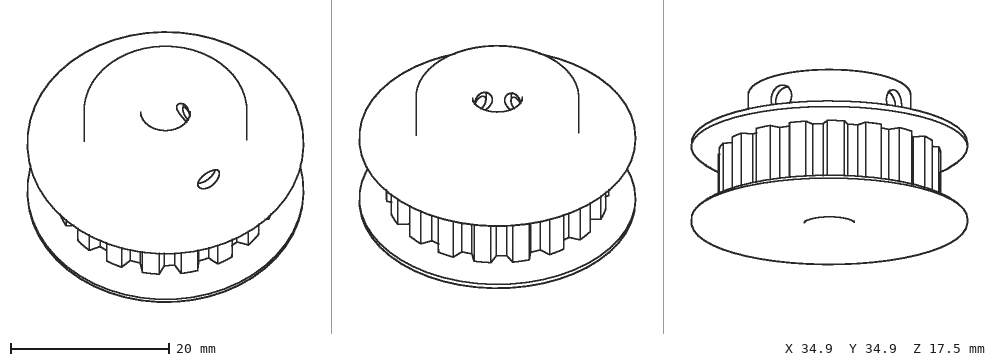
import cadquery as cq
import math

flange_radius = 17.45
flange_thickness = 1.65
flange_rim_height = 0.85
flange_arc_width = 1.7
edge_fillet = 0.4

rim_height = 7.85
tooth_count = 18
tip_radius = 14.07
groove_depth = 1.4
groove_floor_width = 1.33
groove_top_width = 2.75

overall_height = 17.5
hub_radius = 10.3
bore_radius = 3.15

screw_radius = 1.6
screw_tip_radius = 0.98
screw_tip_distance = 3.2
screw_length = 6.0

upper_flange_bottom = flange_thickness + rim_height
body_height = upper_flange_bottom + flange_thickness
screw_height = (body_height + overall_height) / 2


def flange():
    """Disc resting on Z = 0 with a rounded lower edge and an arc on its upper, belt-side edge."""
    arc_height = flange_thickness - flange_rim_height
    flat_radius = flange_radius - flange_arc_width
    arc_radius = (flange_arc_width**2 + arc_height**2) / (2 * arc_height)
    half_angle = math.asin(flange_arc_width / arc_radius) / 2
    arc_middle = (
        flat_radius + arc_radius * math.sin(half_angle),
        flange_thickness - arc_radius * (1 - math.cos(half_angle)),
    )
    profile = (
        cq.Workplane("XZ")
        .lineTo(flange_radius - edge_fillet, 0)
        .radiusArc((flange_radius, edge_fillet), -edge_fillet)
        .lineTo(flange_radius, flange_rim_height)
        .threePointArc(arc_middle, (flat_radius, flange_thickness))
        .lineTo(0, flange_thickness)
        .close()
    )
    return profile.revolve(360, (0, 0, 0), (0, 1, 0))


def toothed_rim():
    """Cylinder cut by tapered belt grooves, one of them centred on -Y."""
    floor_radius = tip_radius - groove_depth
    half_floor = groove_floor_width / 2
    half_top = groove_top_width / 2
    flank_radius = math.sqrt(tip_radius**2 - half_top**2)
    flank_slope = (half_top - half_floor) / (flank_radius - floor_radius)
    half_outside = half_floor + flank_slope * groove_depth
    groove = (
        cq.Workplane("XY")
        .polyline(
            [
                (-half_floor, -floor_radius),
                (half_floor, -floor_radius),
                (half_outside, -tip_radius),
                (-half_outside, -tip_radius),
            ]
        )
        .close()
        .extrude(rim_height)
    )
    rim = cq.Workplane("XY").circle(tip_radius).extrude(rim_height)
    for index in range(tooth_count):
        rim = rim.cut(groove.rotate((0, 0, 0), (0, 0, 1), index * 360 / tooth_count))
    return rim.translate((0, 0, flange_thickness))


def hub():
    """Cylinder with a rounded top edge and a fillet flaring onto the upper flange."""
    profile = (
        cq.Workplane("XZ")
        .moveTo(0, body_height)
        .lineTo(hub_radius + edge_fillet, body_height)
        .radiusArc((hub_radius, body_height + edge_fillet), edge_fillet)
        .lineTo(hub_radius, overall_height - edge_fillet)
        .radiusArc((hub_radius - edge_fillet, overall_height), -edge_fillet)
        .lineTo(0, overall_height)
        .close()
    )
    return profile.revolve(360, (0, 0, 0), (0, 1, 0))


def bore():
    """Through bore, widened by a rounded edge at both ends."""
    mouth_radius = bore_radius + edge_fillet
    profile = (
        cq.Workplane("XZ")
        .lineTo(mouth_radius, 0)
        .radiusArc((bore_radius, edge_fillet), edge_fillet)
        .lineTo(bore_radius, overall_height - edge_fillet)
        .radiusArc((mouth_radius, overall_height), edge_fillet)
        .lineTo(0, overall_height)
        .close()
    )
    return profile.revolve(360, (0, 0, 0), (0, 1, 0))


def screw_hole():
    """Radial hole along +X from the pulley axis to beyond the hub."""
    return (
        cq.Workplane("YZ")
        .center(0, screw_height)
        .circle(screw_radius)
        .extrude(hub_radius + edge_fillet)
    )


def set_screw():
    """Set screw along +X with a 45 degree chamfer around its flat tip."""
    return (
        cq.Workplane("YZ", origin=(screw_tip_distance, 0, screw_height))
        .circle(screw_radius)
        .extrude(screw_length)
        .faces("<X")
        .chamfer(screw_radius - screw_tip_radius)
    )


lower_flange = flange()
upper_flange = flange().mirror("XY").translate((0, 0, body_height))

result = lower_flange.union(toothed_rim()).union(upper_flange).union(hub()).cut(bore())
for angle in (0, 90):
    result = result.cut(screw_hole().rotate((0, 0, 0), (0, 0, 1), angle))
    result = result.union(set_screw().rotate((0, 0, 0), (0, 0, 1), angle))